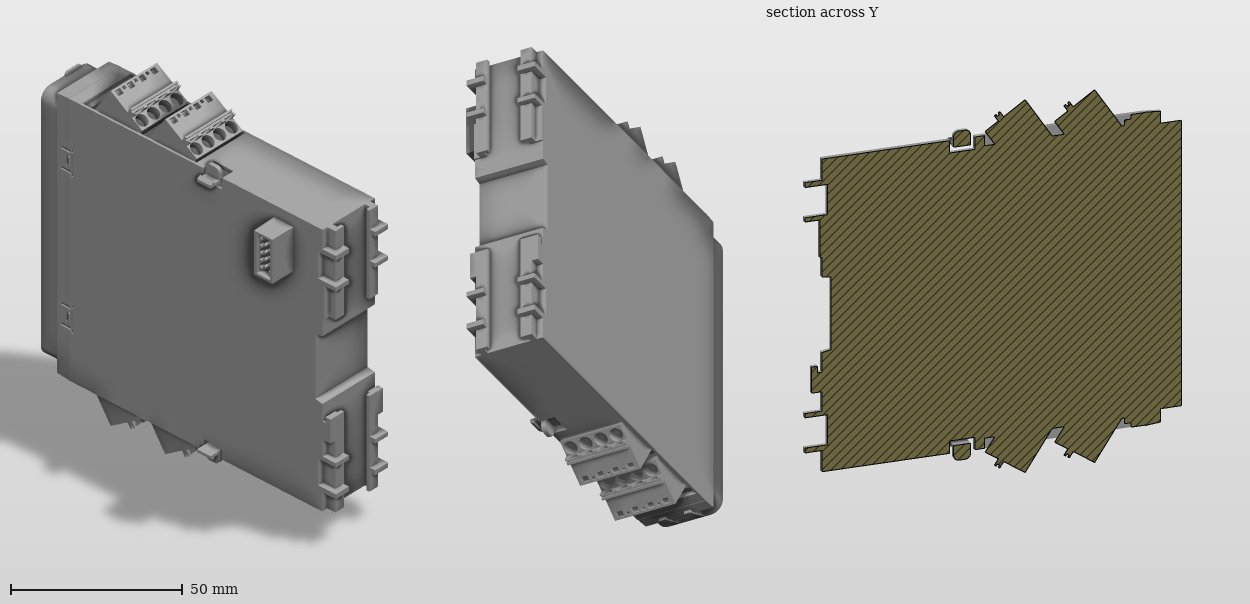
import cadquery as cq


DEPTH = 22.5
HALF_HEIGHT = 49.6
PLATE_THICKNESS = 0.25
PLATE_LIP = 0.1
BACK_X = 111.9
FOOT_X = 115.1
TAB_X = 117.2

BEZEL_X = 6.6
BEZEL_END_X = 11.4
BEZEL_HALF_HEIGHT = 49.2
BEZEL_INSET = 0.15
COVER_TOP = 47.2
COVER_BOTTOM = -46.8
COVER_INSET = 0.4
COVER_RADIUS = 4.0

PULL_TAB_THICKNESS = 0.9
PULL_TAB_Y = (10.5, 17.3)
PULL_TAB_TOP = 48.5
PULL_TAB_BEVEL = 0.8
HINGE_RIB_STARTS = (5.9, 14.1)
HINGE_RIB_WIDTH = 2.1
HINGE_TIP_X = 9.0
HINGE_TIP_Z = -50.4
HINGE_WEB_BOTTOM = -48.4

LATCH_Z = 27.5
LATCH_HOOK_X = 12.4
LATCH_END_X = 13.1
LATCH_HALF_HEIGHT = 4.9
LATCH_SLOT_X = (8.1, 11.9)
LATCH_SLOT_HEIGHT = 1.1
LATCH_SLOT_OFFSET = 3.6
LATCH_SLOT_DEPTH = 0.8
NUB_X = (10.1, 11.9)
NUB_HEIGHT = 3.4
NUB_RISE = 0.5
NUB_WINDOW_DEPTH = 0.8

POCKET_X = (15.9, 61.2)
POCKET_Y = (1.0, 21.7)
POCKET_DEPTH = 3.3
POCKET_LEDGE_END_X = 17.9
POCKET_LEDGE_DEPTH = 1.5
BLOCK_Y = (POCKET_Y[0], 20.9)
BLOCK_APEX_X = 27.1
BLOCK_APEX_Z = 58.995
BLOCK_TILT = 33.5
BLOCK_PITCH = 21.6
BLOCKS_PER_END = 2
BLOCK_FACE = 15.0
BLOCK_HEIGHT = 15.8
RIDGE_START = 8.0
RIDGE_WIDTH = 2.1
RIDGE_RISE = 2.2
RIDGE_GROOVE = 0.7
POLE_COUNT = 4
POLE_PITCH = 5.0
POLE_FIRST_Y = 3.3
WIRE_DIAMETER = 4.2
SCALLOP_DIAMETER = 3.6
WIRE_CENTRE = 12.3
WIRE_DEPTH = 3.0
SOCKET_START = 0.7
TEST_LENGTH = 1.9
TEST_WIDTH = 2.2
TEST_DEPTH = 1.5
KEY_LENGTH = 1.0
KEY_WIDTH = 1.2

CLIP_X = (65.6, 71.0)
CLIP_TOP = 52.1
CLIP_RADIUS = 1.8
CLIP_THICKNESS = 1.4
CLIP_LIP_REACH = 3.7
CLIP_LIP_Z = (47.1, 48.1)
CLIP_HOOK_RISE = 0.8
CLIP_HOOK_LENGTH = 1.4
CLIP_NOTCH_X = (64.4, 72.1)
CLIP_NOTCH_BOTTOM = 45.6
CLIP_NOTCH_DEPTH = 5.0

PLUG_X = (93.2, 100.4)
PLUG_Z = (29.8, 45.3)
PLUG_REACH = 9.06
PLUG_DRAFT = 0.4
PLUG_WALL = 0.85
PLUG_CAVITY_DEPTH = 2.5
PIN_COUNT = 4
PIN_PITCH = 2.54
PIN_DIAMETER = 1.0
PIN_LENGTH = 2.0
PLUG_KEY = 0.8
PLUG_KEY_OFFSET = 1.8
PLUG_KEY_HEIGHT = 1.7

RAIL_NOTCH_X = 109.1
RAIL_NOTCH_Z = (-11.2, 11.6)
RAIL_NOTCH_FLARE = 0.5
UPPER_FOOT_BOTTOM = 18.3
UPPER_WALL_X = 112.6
LOWER_FOOT_TOP = -15.8
LOWER_WALL_BOTTOM = -24.2
HOOK_SLOT_BOTTOM = -17.9
HOOK_SLOT_END_X = 113.1
FLANGE_Y = (2.1, 4.2)
FLANGE_LIP_Y = 5.8
FLANGE_LIP_X = 113.9
TAB_Z_RANGES = ((30.2, 31.7), (41.1, 42.8))
TAB_WIDTH = 5.6
SIDE_WINDOW_X = 110.2


def box(x_range, y_range, z_range):
    """Axis-aligned box between the given limits."""
    size = (x_range[1] - x_range[0], y_range[1] - y_range[0], z_range[1] - z_range[0])
    return cq.Workplane("XY").box(*size, centered=False).translate((x_range[0], y_range[0], z_range[0]))


def profile(points, y_range):
    """Extrude an X-Z outline between two Y positions."""
    outline = cq.Workplane("XZ", origin=(0, y_range[1], 0)).polyline(points).close()
    return outline.extrude(y_range[1] - y_range[0])


def both_ends(shape):
    """The shape together with its copy mirrored to the bottom end."""
    return shape.union(shape.mirror("XY"))


def both_sides(shape):
    """The shape together with its copy mirrored about the mid-depth plane."""
    return shape.union(shape.mirror("XZ", (0, DEPTH / 2, 0)))


def make_housing():
    housing_half = HALF_HEIGHT - PLATE_LIP
    bezel = profile([
        (BEZEL_X, -BEZEL_HALF_HEIGHT),
        (BEZEL_END_X, -HALF_HEIGHT),
        (BEZEL_END_X, HALF_HEIGHT),
        (BEZEL_X, BEZEL_HALF_HEIGHT),
    ], (BEZEL_INSET, DEPTH))
    plate = box((BEZEL_END_X, BACK_X), (0, PLATE_THICKNESS), (-HALF_HEIGHT, HALF_HEIGHT))
    core = box((BEZEL_END_X, BACK_X), (PLATE_THICKNESS, DEPTH), (-housing_half, housing_half))
    return core.union(plate).union(bezel)


def make_cover():
    y_range = (COVER_INSET, DEPTH - COVER_INSET)
    cover = box((0, BEZEL_X), y_range, (COVER_BOTTOM, COVER_TOP)).edges("|X").fillet(COVER_RADIUS)
    tab_points = [
        (PULL_TAB_Y[0], COVER_TOP - PULL_TAB_BEVEL),
        (PULL_TAB_Y[0], PULL_TAB_TOP - PULL_TAB_BEVEL),
        (PULL_TAB_Y[0] + PULL_TAB_BEVEL, PULL_TAB_TOP),
        (PULL_TAB_Y[1] - PULL_TAB_BEVEL, PULL_TAB_TOP),
        (PULL_TAB_Y[1], PULL_TAB_TOP - PULL_TAB_BEVEL),
        (PULL_TAB_Y[1], COVER_TOP - PULL_TAB_BEVEL),
    ]
    tab = cq.Workplane("YZ").polyline(tab_points).close().extrude(PULL_TAB_THICKNESS)
    return cover.union(tab)


def make_hinge():
    rib_points = [
        (0, COVER_BOTTOM),
        (BEZEL_X, -HALF_HEIGHT),
        (HINGE_TIP_X, HINGE_TIP_Z),
        (HINGE_TIP_X, -BEZEL_HALF_HEIGHT),
        (BEZEL_X, COVER_BOTTOM),
    ]
    web_start_x = BEZEL_X * (COVER_BOTTOM - HINGE_WEB_BOTTOM) / (COVER_BOTTOM + HALF_HEIGHT)
    hinge = box((web_start_x, BEZEL_X), HINGE_RIB_STARTS, (HINGE_WEB_BOTTOM, COVER_BOTTOM))
    for start in HINGE_RIB_STARTS:
        hinge = hinge.union(profile(rib_points, (start, start + HINGE_RIB_WIDTH)))
    return hinge


def latch_cuts():
    """Bezel tongue recess, the catch window, its two freeing slots and its end slots."""
    tongue_half = LATCH_SLOT_OFFSET + LATCH_SLOT_HEIGHT / 2
    tongue_z = (LATCH_Z - tongue_half, LATCH_Z + tongue_half)
    cuts = box((BEZEL_END_X, LATCH_END_X), (0, BEZEL_INSET), tongue_z)
    window_z = (LATCH_Z - NUB_HEIGHT / 2, LATCH_Z + NUB_HEIGHT / 2)
    cuts = cuts.union(box(NUB_X, (0, NUB_WINDOW_DEPTH), window_z))
    for side in (-1, 1):
        middle = LATCH_Z + side * LATCH_SLOT_OFFSET
        slot_z = (middle - LATCH_SLOT_HEIGHT / 2, middle + LATCH_SLOT_HEIGHT / 2)
        cuts = cuts.union(box(LATCH_SLOT_X, (0, LATCH_SLOT_DEPTH), slot_z))
        hook_z = sorted((middle, LATCH_Z + side * LATCH_HALF_HEIGHT))
        cuts = cuts.union(box((LATCH_HOOK_X, LATCH_END_X), (0, LATCH_SLOT_DEPTH), hook_z))
    return both_ends(cuts)


def latch_nubs():
    """Ramped catch in the window of each bezel tongue."""
    bottom = LATCH_Z - NUB_HEIGHT / 2
    ramp = cq.Workplane("XY", origin=(0, 0, bottom)).polyline([
        (NUB_X[0], NUB_WINDOW_DEPTH),
        (NUB_X[1], -NUB_RISE),
        (NUB_X[1], NUB_WINDOW_DEPTH),
    ]).close().extrude(NUB_HEIGHT)
    return both_ends(ramp)


def terminal_pockets():
    """Pockets around the terminal blocks, each with a shallow ledge at its front end."""
    ledge = box((POCKET_X[0], POCKET_LEDGE_END_X), POCKET_Y, (HALF_HEIGHT - POCKET_LEDGE_DEPTH, HALF_HEIGHT))
    deep_part = box((POCKET_LEDGE_END_X, POCKET_X[1]), POCKET_Y, (HALF_HEIGHT - POCKET_DEPTH, HALF_HEIGHT))
    return both_ends(ledge.union(deep_part))


def terminal_block(apex_x):
    """Tilted plug block: wiring face along local X, local Z out of that face, origin at the apex."""
    block = box((0, BLOCK_FACE), BLOCK_Y, (-BLOCK_HEIGHT, 0))
    ridge = box((RIDGE_START, RIDGE_START + RIDGE_WIDTH), BLOCK_Y, (-RIDGE_RISE, RIDGE_RISE))
    groove_start = RIDGE_START + (RIDGE_WIDTH - RIDGE_GROOVE) / 2
    groove_end = groove_start + RIDGE_GROOVE
    groove = box((groove_start, groove_end), BLOCK_Y, (RIDGE_RISE - RIDGE_GROOVE, RIDGE_RISE))
    block = block.union(ridge).cut(groove)
    for pole in range(POLE_COUNT):
        y = POLE_FIRST_Y + pole * POLE_PITCH
        wire = cq.Workplane("XY", origin=(WIRE_CENTRE, y, -WIRE_DEPTH))
        block = block.cut(wire.circle(WIRE_DIAMETER / 2).extrude(WIRE_DEPTH))
        scallop = cq.Workplane("YZ", origin=(groove_end, y, RIDGE_RISE))
        block = block.cut(scallop.circle(SCALLOP_DIAMETER / 2).extrude(RIDGE_WIDTH))
        test_y = (y - TEST_WIDTH / 2, y + TEST_WIDTH / 2)
        block = block.cut(box((SOCKET_START, SOCKET_START + TEST_LENGTH), test_y, (-TEST_DEPTH, 0)))
        if pole > 0:
            key_middle = y - POLE_PITCH / 2
            key_y = (key_middle - KEY_WIDTH / 2, key_middle + KEY_WIDTH / 2)
            block = block.cut(box((SOCKET_START, SOCKET_START + KEY_LENGTH), key_y, (-TEST_DEPTH, 0)))
    block = block.rotate((0, 0, 0), (0, 1, 0), BLOCK_TILT).translate((apex_x, 0, BLOCK_APEX_Z))
    above_pocket = box((0, TAB_X), (0, DEPTH), (HALF_HEIGHT - POCKET_DEPTH, BLOCK_APEX_Z + RIDGE_RISE))
    return block.intersect(above_pocket)


def clip_notch():
    return both_ends(box(CLIP_NOTCH_X, (0, CLIP_NOTCH_DEPTH), (CLIP_NOTCH_BOTTOM, HALF_HEIGHT)))


def make_clip():
    plate = box(CLIP_X, (0, CLIP_THICKNESS), (CLIP_LIP_Z[0], CLIP_TOP))
    plate = plate.edges("|Y and >Z").fillet(CLIP_RADIUS)
    lip_points = [
        (CLIP_NOTCH_DEPTH, CLIP_LIP_Z[0]),
        (CLIP_NOTCH_DEPTH, CLIP_LIP_Z[1]),
        (CLIP_HOOK_LENGTH - CLIP_LIP_REACH, CLIP_LIP_Z[1]),
        (CLIP_HOOK_LENGTH - CLIP_LIP_REACH, CLIP_LIP_Z[1] + CLIP_HOOK_RISE),
        (-CLIP_LIP_REACH, CLIP_LIP_Z[1]),
        (-CLIP_LIP_REACH, CLIP_LIP_Z[0]),
    ]
    lip = cq.Workplane("YZ", origin=(CLIP_X[0], 0, 0)).polyline(lip_points).close()
    return both_ends(plate.union(lip.extrude(CLIP_X[1] - CLIP_X[0])))


def make_connector():
    shell = cq.Workplane("XY", origin=(0, 0, PLUG_Z[0])).polyline([
        (PLUG_X[0], -PLUG_REACH),
        (PLUG_X[1], -PLUG_REACH),
        (PLUG_X[1], PLATE_THICKNESS),
        (PLUG_X[0] - PLUG_DRAFT, PLATE_THICKNESS),
    ]).close().extrude(PLUG_Z[1] - PLUG_Z[0])
    cavity_x = (PLUG_X[0] + PLUG_WALL, PLUG_X[1] - PLUG_WALL)
    cavity_z = (PLUG_Z[0] + PLUG_WALL, PLUG_Z[1] - PLUG_WALL)
    floor_y = PLUG_CAVITY_DEPTH - PLUG_REACH
    shell = shell.cut(box(cavity_x, (-PLUG_REACH, floor_y), cavity_z))

    pin_x = sum(PLUG_X) / 2
    middle_z = sum(PLUG_Z) / 2
    for pin in range(PIN_COUNT):
        z = middle_z + (pin - (PIN_COUNT - 1) / 2) * PIN_PITCH
        post = cq.Workplane("XZ", origin=(pin_x, floor_y, z)).circle(PIN_DIAMETER / 2).extrude(PIN_LENGTH)
        shell = shell.union(post)
    for gap in range(PIN_COUNT + 1):
        z = middle_z + (gap - PIN_COUNT / 2) * PIN_PITCH
        key_z = (z - PLUG_KEY / 2, z + PLUG_KEY / 2)
        for side in (-1, 1):
            x = pin_x + side * PLUG_KEY_OFFSET
            key_x = (x - PLUG_KEY / 2, x + PLUG_KEY / 2)
            shell = shell.union(box(key_x, (floor_y - PLUG_KEY_HEIGHT, floor_y), key_z))
    return shell


def rail_notch():
    return profile([
        (RAIL_NOTCH_X, RAIL_NOTCH_Z[0]),
        (BACK_X, RAIL_NOTCH_Z[0] - RAIL_NOTCH_FLARE),
        (BACK_X, RAIL_NOTCH_Z[1] + RAIL_NOTCH_FLARE),
        (RAIL_NOTCH_X, RAIL_NOTCH_Z[1]),
    ], (0, DEPTH))


def side_windows():
    """Openings in the side walls between each pair of rail tabs."""
    z_range = (TAB_Z_RANGES[0][1], TAB_Z_RANGES[1][0])
    return both_ends(both_sides(box((SIDE_WINDOW_X, BACK_X), (0, FLANGE_Y[0]), z_range)))


def flange(z_range):
    """L-shaped rear flange on one side."""
    web = box((SIDE_WINDOW_X, FOOT_X), FLANGE_Y, z_range)
    lip = box((FLANGE_LIP_X, FOOT_X), (FLANGE_Y[0], FLANGE_LIP_Y), z_range)
    return web.union(lip)


def make_foot():
    foot = flange((UPPER_FOOT_BOTTOM, HALF_HEIGHT - PLATE_LIP))
    foot = foot.union(flange((PLATE_LIP - HALF_HEIGHT, LOWER_FOOT_TOP)))
    foot = foot.union(box((SIDE_WINDOW_X, FOOT_X), (0, FLANGE_Y[1]), (LOWER_WALL_BOTTOM, LOWER_FOOT_TOP)))
    foot = foot.union(box((BACK_X, UPPER_WALL_X), (0, FLANGE_Y[0]), (UPPER_FOOT_BOTTOM, TAB_Z_RANGES[0][0])))
    hook_slot = box((BACK_X, HOOK_SLOT_END_X), (0, FLANGE_LIP_Y), (HOOK_SLOT_BOTTOM, LOWER_FOOT_TOP))
    foot = foot.cut(hook_slot)
    for z_range in TAB_Z_RANGES:
        tab = box((BACK_X, TAB_X), (0, FLANGE_Y[1]), z_range)
        tab = tab.union(box((FLANGE_LIP_X, TAB_X), (0, TAB_WIDTH), z_range))
        foot = foot.union(both_ends(tab))
    return both_sides(foot)


body = make_housing()
body = body.cut(terminal_pockets())
body = body.cut(latch_cuts()).cut(clip_notch()).cut(rail_notch()).cut(side_windows())
body = body.union(make_cover()).union(make_hinge()).union(latch_nubs())
for index in range(BLOCKS_PER_END):
    body = body.union(both_ends(terminal_block(BLOCK_APEX_X + index * BLOCK_PITCH)))
body = body.union(make_clip()).union(make_connector()).union(make_foot())

result = body